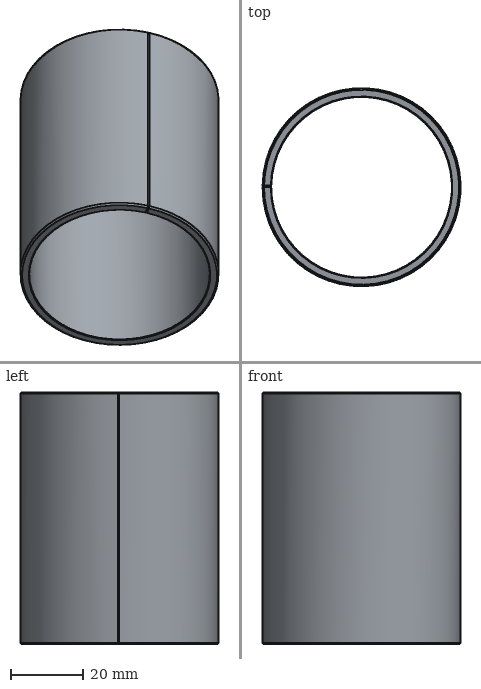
import cadquery as cq

outer_diameter = 55.0
wall_thickness = 2.5
length = 70.0
outer_chamfer = 0.5
bore_chamfer = 0.2
split_angle = 1.0

outer_radius = outer_diameter / 2
bore_radius = outer_radius - wall_thickness
end_height = length / 2


def make_wall_section():
    """Wall profile in the XZ plane on the -X side, chamfered at all four corners."""
    bore_x = -bore_radius
    outer_x = -outer_radius
    return (
        cq.Workplane("XZ")
        .moveTo(bore_x, -end_height + bore_chamfer)
        .lineTo(bore_x, end_height - bore_chamfer)
        .lineTo(bore_x - bore_chamfer, end_height)
        .lineTo(outer_x + outer_chamfer, end_height)
        .lineTo(outer_x, end_height - outer_chamfer)
        .lineTo(outer_x, -end_height + outer_chamfer)
        .lineTo(outer_x + outer_chamfer, -end_height)
        .lineTo(bore_x - bore_chamfer, -end_height)
        .close()
    )


def make_split_sleeve():
    """Sweep the wall about Z from -X, stopping short so a gap stays open on the +Y side of -X."""
    axis_start = (0, 0, 0)
    axis_end = (0, 1, 0)
    return make_wall_section().revolve(360 - split_angle, axis_start, axis_end)


result = make_split_sleeve()